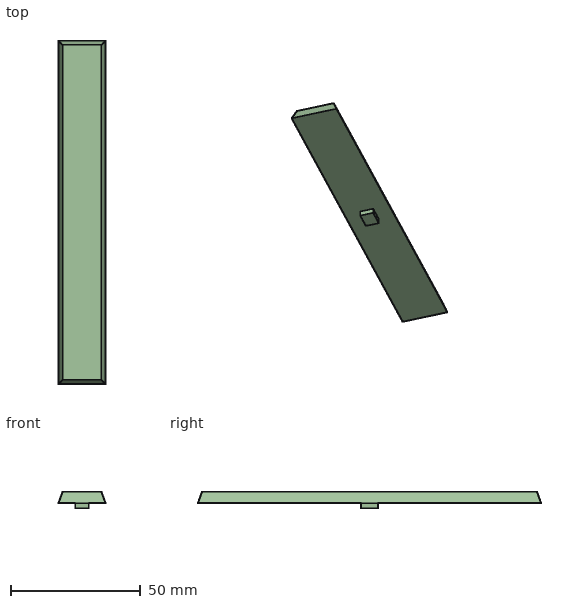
import cadquery as cq
import math

BASE_WIDTH = 18.28
BASE_LENGTH = 132.58
BAR_HEIGHT = 4.5
SIDE_LEAN_DEG = 20.0

TOTAL_HEIGHT = 6.5
STEM_WIDTH = 5.25
STEM_LENGTH = 6.75
STEM_HEIGHT = TOTAL_HEIGHT - BAR_HEIGHT

TOP_INSET = BAR_HEIGHT * math.tan(math.radians(SIDE_LEAN_DEG))


def make_bar():
    """Slab with its base on Z = 0 and an equal inset on all four top edges."""
    return (
        cq.Workplane("XY")
        .rect(BASE_WIDTH, BASE_LENGTH)
        .workplane(offset=BAR_HEIGHT)
        .rect(BASE_WIDTH - 2 * TOP_INSET, BASE_LENGTH - 2 * TOP_INSET)
        .loft(ruled=True)
    )


def make_stem():
    """Block hanging below the base of the bar."""
    return cq.Workplane("XY").rect(STEM_WIDTH, STEM_LENGTH).extrude(-STEM_HEIGHT)


result = make_bar().union(make_stem())